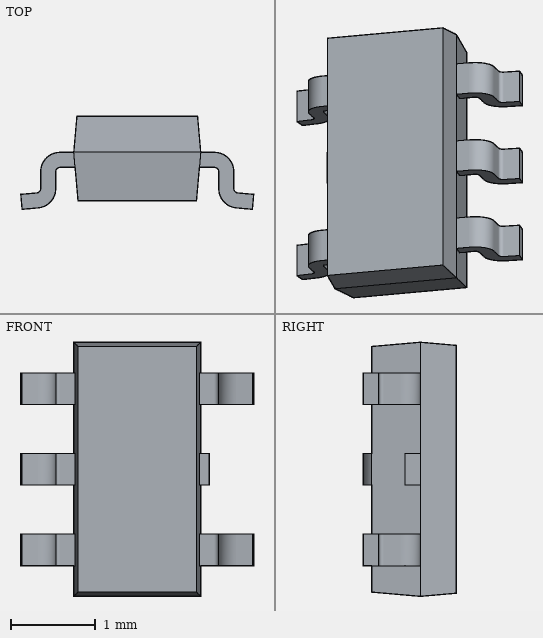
import cadquery as cq
import math


housing_width = 1.5
housing_length = 3.0
upper_height = 0.425
lower_height = 0.575
draft_angle = 5.0

standoff = 0.1
lead_span = 2.75
lead_thickness = 0.18
lead_width = 0.375
lead_pitch = 0.95
inner_radius = 0.05
outer_radius = inner_radius + lead_thickness
shoulder_end = 0.91
foot_angle = math.radians(5)
stub_end = 0.85

seat_y = -(lower_height + standoff)
wall_x = housing_width / 2
wall_x_under_lead = wall_x - lead_thickness * math.tan(math.radians(draft_angle))


def tapered_half(height):
    """Half of the housing, narrowing upward (+Y) from the parting plane."""
    parting_outline = cq.Workplane("ZX").rect(housing_length, housing_width)
    return parting_outline.extrude(height, taper=draft_angle)


def polar(center, radius, angle):
    """Point on a circle, with the angle in radians."""
    return (
        center[0] + radius * math.cos(angle),
        center[1] + radius * math.sin(angle),
    )


def extrude_lead(profile, z_center):
    """Give a lead profile its width, centred on z_center."""
    return profile.extrude(lead_width / 2, both=True).translate((0, 0, z_center))


def gull_wing_lead(z_center):
    """Lead on the +X side: shoulder, two bends and a sloping foot."""
    upper_center = (shoulder_end, -outer_radius)
    leg_outer_x = shoulder_end + outer_radius
    leg_inner_x = shoulder_end + inner_radius

    lower_center_x = leg_outer_x + inner_radius
    tip_top_x = lead_span / 2
    foot_run = tip_top_x - lower_center_x + inner_radius * math.sin(foot_angle)
    foot_drop = foot_run * math.tan(foot_angle)
    lower_center = (lower_center_x, seat_y + outer_radius * math.cos(foot_angle) + foot_drop)

    bend_start = math.pi
    bend_end = 1.5 * math.pi - foot_angle
    bend_middle = (bend_start + bend_end) / 2
    foot_top_start = polar(lower_center, inner_radius, bend_end)
    foot_bottom_start = polar(lower_center, outer_radius, bend_end)
    tip_top = (foot_top_start[0] + foot_run, foot_top_start[1] - foot_drop)
    tip_bottom = (foot_bottom_start[0] + foot_run, foot_bottom_start[1] - foot_drop)

    profile = (
        cq.Workplane("XY")
        .moveTo(wall_x, 0)
        .lineTo(shoulder_end, 0)
        .threePointArc(polar(upper_center, outer_radius, math.pi / 4), (leg_outer_x, upper_center[1]))
        .lineTo(leg_outer_x, lower_center[1])
        .threePointArc(polar(lower_center, inner_radius, bend_middle), foot_top_start)
        .lineTo(*tip_top)
        .lineTo(*tip_bottom)
        .lineTo(*foot_bottom_start)
        .threePointArc(polar(lower_center, outer_radius, bend_middle), (leg_inner_x, lower_center[1]))
        .lineTo(leg_inner_x, upper_center[1])
        .threePointArc(polar(upper_center, inner_radius, math.pi / 4), (shoulder_end, -lead_thickness))
        .lineTo(wall_x_under_lead, -lead_thickness)
        .close()
    )
    return extrude_lead(profile, z_center)


def stub_lead(z_center):
    """Straight lead on the +X side, cut off close to the housing."""
    profile = cq.Workplane("XY").polyline([
        (wall_x, 0),
        (stub_end, 0),
        (stub_end, -lead_thickness),
        (wall_x_under_lead, -lead_thickness),
    ]).close()
    return extrude_lead(profile, z_center)


upper_housing = tapered_half(upper_height)
lower_housing = tapered_half(lower_height).mirror("XZ")

leads = []
for row in (-1, 0, 1):
    row_z = row * lead_pitch
    leads.append(gull_wing_lead(row_z).mirror("YZ"))
    if row != 0:
        leads.append(gull_wing_lead(row_z))
stub = stub_lead(0)

result = cq.Compound.makeCompound([
    upper_housing.val(),
    lower_housing.val(),
    *[lead.val() for lead in leads],
    stub.val(),
])